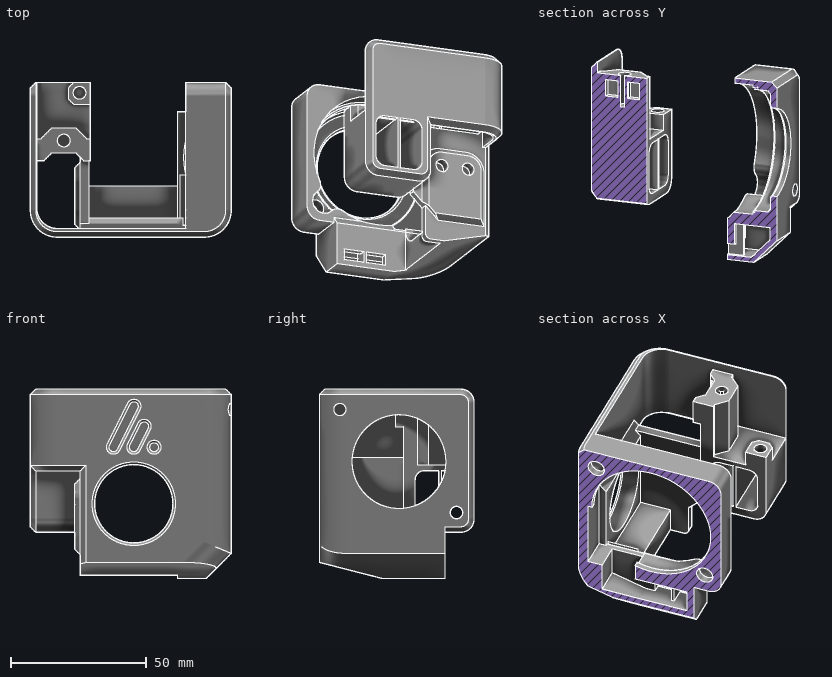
import cadquery as cq
import math


WIDTH = 74.19
DEPTH = 57.16
HEIGHT = 69.98
FRONT_RADIUS = 10.0
REAR_RADIUS = 5.0
EDGE_CHAMFER = 2.1
BOX_BOTTOM = 17.05
OVERCUT = 1.0

LEFT_WALL = 2.45
FRONT_WALL = 3.3
RIGHT_INNER_X = 57.3
FRONT_PAD = 7.2
PAD_SLOPE_TOP = 46.5
PAD_SLOPE_BOTTOM = PAD_SLOPE_TOP - (FRONT_PAD - FRONT_WALL)

NOTCH_X = 18.4
NOTCH_TOP = 39.7
LEFT_BOX_FRONT = 31.05
LEFT_BOX_RIGHT = 22.2
LEFT_BOX_TOP = 42.0
WINDOW_Y = (35.4, 53.8)
WINDOW_Z = (20.5, 39.9)
WINDOW_RADIUS = 3.5
WINDOW_RIB_Y = (44.05, 45.1)

INSERT_DIA = 4.7
TOWER_TOP = 66.0
TOWER_LUG_BOTTOM = 56.0
TOWER_CENTER_X = 12.4
TOWER_HOLE_Y = 35.7
TOWER_HOLE_DEPTH = 12.0
TOWER_LUG_FRONT = 28.2
TOWER_LUG_REAR = 36.2
TOWER_REAR = 40.3
TOWER_FLAT_HALF = 4.5
TIE_SLOT_X = (2.0, 6.6)
TIE_SLOT_Z = (57.5, 63.6)
TIE_SLOT_REAR = 35.5
REAR_POST_X = 14.1
REAR_POST_FRONT = 49.0
REAR_POST_HEIGHT = 6.0
REAR_POST_CHAMFER = 2.0
REAR_POST_HOLE = (18.2, 53.3)

DUCT_X = 54.3
DUCT_REAR = 46.4
DUCT_SHOULDER = 15.9
DUCT_SHELF_X = 55.3
DUCT_SHELF_REAR = 23.0
SHELF_TOP = DUCT_SHOULDER + DUCT_SHELF_X - DUCT_X
SLOPE_FRONT_Z = 6.0
SLOPE_REAR_Y = 23.4
BEVEL = 9.33
FLOOR_BOTTOM = 1.2
FLOOR_TOP = 10.8
FLOOR_REAR = 19.0
FLOOR_CURVE_RADIUS = 6.4
LEG_INNER_X = 21.7
LEG_REAR = 26.2
LEG_CORNER_RADIUS = 2.0
LEG_STEP_TOP = 13.95
LEG_TOP = 44.7

AIR_HOLE_CENTER = (38.2, 27.65)
AIR_HOLE_RADIUS = 14.4
AIR_HOLE_CHAMFER = 1.0
GROOVE_FLOOR_DIA = 3.25
GROOVE_DEPTH = 0.95
GROOVE_PITCH = 7.5
GROOVE_START = (30.7, 48.5)
GROOVE_LENGTHS = (16.9, 8.6)
GROOVE_ANGLE = 63.4

PAD_OUTER_X = 16.4
PAD_Y = (2.8, 27.65)
PAD_Z = (8.9, 36.9)
PAD_RADIUS = 7.2
PAD_HOLE_FLOOR = 1.0

FAN_CENTER = (29.4, 43.2)
FAN_RADIUS = 25.0
FAN_SEAT_X = 64.5
FAN_STEP_RADIUS = 24.2
FAN_STEP_X = 65.2
FAN_RECESS_RADIUS = 23.5
FAN_FLOOR_X = 71.5
FAN_FLOOR_CHAMFER = 1.0
INLET_RADIUS = 17.3
INLET_CHAMFER = 0.8
FAN_SCREWS = [(50.6, 24.4), (7.6, 62.4)]
FAN_POCKET_DIA = 8.7
FAN_POCKET_BLEND = 4.0
FAN_COUNTERBORE_DIA = 6.25
FAN_COUNTERBORE_X = 70.0
FAN_SCREW_DIA = 4.5

NOZZLES_Y = [(27.0, 34.6), (35.7, 43.5)]
NOZZLE_Z = (2.0, 6.1)
DUCT_WALL = 3.0
DUCT_CAVITY_TOP = 14.0
DUCT_DROP_FRONT = 10.0
FAN_OUTLET_FRONT = FAN_CENTER[0] - FAN_RADIUS


def block(x_range, y_range, z_range):
    """Axis-aligned box between the given limits."""
    size = [high - low for low, high in (x_range, y_range, z_range)]
    corner = (x_range[0], y_range[0], z_range[0])
    return cq.Workplane("XY").box(*size, centered=False).translate(corner)


def side_profile(points, x_range):
    """Extrude a closed (Y, Z) outline along X."""
    plane = cq.Workplane("YZ", origin=(x_range[0], 0, 0))
    return plane.polyline(points).close().extrude(x_range[1] - x_range[0])


def front_profile(points, y_range):
    """Extrude a closed (X, Z) outline along Y."""
    plane = cq.Workplane("XZ", origin=(0, y_range[0], 0))
    return plane.polyline(points).close().extrude(y_range[0] - y_range[1])


def disc_x(center, radius, x_range):
    """Cylinder along X, centred at (Y, Z)."""
    plane = cq.Workplane("YZ", origin=(x_range[0], 0, 0))
    return plane.center(*center).circle(radius).extrude(x_range[1] - x_range[0])


def disc_z(center, radius, z_range):
    """Cylinder along Z, centred at (X, Y)."""
    plane = cq.Workplane("XY", origin=(0, 0, z_range[0]))
    return plane.center(*center).circle(radius).extrude(z_range[1] - z_range[0])


def cone_x(center, start_radius, end_radius, x_start):
    """45 degree cone frustum along +X, centred at (Y, Z)."""
    length = abs(end_radius - start_radius)
    base = cq.Vector(x_start, *center)
    cone = cq.Solid.makeCone(start_radius, end_radius, length, base, cq.Vector(1, 0, 0))
    return cq.Workplane("XY").add(cone)


def outer_housing():
    """Full-width block with rounded corners and a bevel round its front and side faces."""
    body = block((0, WIDTH), (0, DEPTH), (BOX_BOTTOM, HEIGHT))
    body = body.edges("|Z and <Y").fillet(FRONT_RADIUS)
    body = body.edges("|X and >Y").fillet(REAR_RADIUS)
    smooth_seams = "(|Z and (not >Y)) or (|X and (not <Y))"
    return body.edges(f"not ({smooth_seams})").chamfer(EDGE_CHAMFER)


def upper_shell(housing):
    """Left and front walls above the notch, bevelled along their lower edge."""
    band = block((0, WIDTH), (0, DEPTH), (NOTCH_TOP, HEIGHT))
    band = band.edges("|Z and <Y").fillet(FRONT_RADIUS)
    band = band.faces("<Z").edges("not >Y").chamfer(EDGE_CHAMFER)
    cavity = block(
        (LEFT_WALL, RIGHT_INNER_X),
        (FRONT_WALL, DEPTH + OVERCUT),
        (NOTCH_TOP - OVERCUT, HEIGHT + OVERCUT),
    )
    cavity = cavity.edges("|Z and <X and <Y").fillet(FRONT_RADIUS - LEFT_WALL)
    return housing.intersect(band).cut(cavity)


def left_housing():
    """Box below the left wall with a window through it, split by a thin rib."""
    box = block((0, LEFT_BOX_RIGHT), (LEFT_BOX_FRONT, DEPTH), (BOX_BOTTOM, HEIGHT))
    box = box.edges("|X and <Z").fillet(REAR_RADIUS)
    box = box.edges("|X and >Z and >Y").fillet(REAR_RADIUS)
    box = box.faces("<X").edges().chamfer(EDGE_CHAMFER)
    box = box.cut(
        block(
            (LEFT_WALL, LEFT_BOX_RIGHT + OVERCUT),
            (LEFT_BOX_FRONT - OVERCUT, DEPTH + OVERCUT),
            (LEFT_BOX_TOP, HEIGHT + OVERCUT),
        )
    )
    window = block((-OVERCUT, LEFT_BOX_RIGHT + OVERCUT), WINDOW_Y, WINDOW_Z)
    window = window.edges("|X").fillet(WINDOW_RADIUS)
    return box.cut(window).union(block((0, LEFT_BOX_RIGHT), WINDOW_RIB_Y, WINDOW_Z))


def tower():
    """Screw tower with chamfered lugs, an insert hole and two tie slots."""
    outer_half = LEFT_BOX_RIGHT - TOWER_CENTER_X
    lug_step = LEFT_BOX_FRONT - TOWER_LUG_FRONT
    rear_step = TOWER_REAR - TOWER_LUG_REAR
    flat = TOWER_FLAT_HALF
    right_half = [
        (flat, LEFT_BOX_FRONT),
        (flat + lug_step, TOWER_LUG_FRONT),
        (outer_half, TOWER_LUG_FRONT),
        (outer_half, TOWER_LUG_REAR),
        (flat + rear_step, TOWER_LUG_REAR),
        (flat, TOWER_REAR),
    ]
    left_half = [(-x, y) for x, y in reversed(right_half)]
    outline = [(TOWER_CENTER_X + x, y) for x, y in right_half + left_half]
    body = cq.Workplane("XY", origin=(0, 0, LEFT_BOX_TOP)).polyline(outline).close()
    body = body.extrude(TOWER_TOP - LEFT_BOX_TOP)
    below_lugs = block(
        (0, LEFT_BOX_RIGHT + OVERCUT),
        (TOWER_LUG_FRONT - OVERCUT, LEFT_BOX_FRONT),
        (LEFT_BOX_TOP - OVERCUT, TOWER_LUG_BOTTOM),
    )
    body = body.cut(below_lugs)
    for side in (-1, 1):
        slot_x = sorted(TOWER_CENTER_X + side * offset for offset in TIE_SLOT_X)
        body = body.cut(block(slot_x, (TOWER_LUG_FRONT - OVERCUT, TIE_SLOT_REAR), TIE_SLOT_Z))
    hole_z = (TOWER_TOP - TOWER_HOLE_DEPTH, TOWER_TOP + OVERCUT)
    body = body.cut(disc_z((TOWER_CENTER_X, TOWER_HOLE_Y), INSERT_DIA / 2, hole_z))
    wall_joint = block(
        (LEFT_WALL / 2, LEFT_WALL + OVERCUT),
        (TOWER_LUG_FRONT, TOWER_LUG_REAR),
        (TOWER_LUG_BOTTOM, TOWER_TOP),
    )
    return body.union(wall_joint)


def rear_post():
    """Short screw post at the rear of the left housing."""
    post_z = (LEFT_BOX_TOP, LEFT_BOX_TOP + REAR_POST_HEIGHT)
    post = block((REAR_POST_X, LEFT_BOX_RIGHT), (REAR_POST_FRONT, DEPTH), post_z)
    post = post.edges("|Z and <X").chamfer(REAR_POST_CHAMFER)
    return post.cut(disc_z(REAR_POST_HOLE, INSERT_DIA / 2, (post_z[0], post_z[1] + OVERCUT)))


def lower_body():
    """Front wall, left leg, trough floor and duct, all below the upper shell."""
    outline = [
        (NOTCH_X, FLOOR_BOTTOM),
        (DUCT_X, FLOOR_BOTTOM),
        (DUCT_X, 0),
        (WIDTH - BEVEL, 0),
        (WIDTH, BEVEL),
        (WIDTH, PAD_SLOPE_TOP),
        (NOTCH_X, PAD_SLOPE_TOP),
    ]
    body = front_profile(outline, (0, DUCT_REAR))
    rounded_edges = cq.selectors.BoxSelector(
        (WIDTH - BEVEL - OVERCUT, -OVERCUT, OVERCUT),
        (WIDTH + OVERCUT, OVERCUT, PAD_SLOPE_TOP - OVERCUT),
    )
    body = body.edges(rounded_edges).fillet(FRONT_RADIUS)
    body = body.edges("|Z and <X and <Y").chamfer(EDGE_CHAMFER)
    underside = [(0, 0), (SLOPE_REAR_Y, 0), (0, SLOPE_FRONT_Z)]
    body = body.cut(side_profile(underside, (0, WIDTH + OVERCUT)))
    return body.cut(trough()).cut(duct_shoulder()).cut(leg_relief())


def trough():
    """Open space behind the padded front wall, with a curved rise at its right end."""
    top = PAD_SLOPE_TOP + OVERCUT
    profile = [
        (FRONT_WALL, top),
        (FRONT_WALL, PAD_SLOPE_TOP),
        (FRONT_PAD, PAD_SLOPE_BOTTOM),
        (FRONT_PAD, FLOOR_TOP),
        (FLOOR_REAR, FLOOR_TOP),
        (FLOOR_REAR, 0),
        (DUCT_REAR + OVERCUT, 0),
        (DUCT_REAR + OVERCUT, top),
    ]
    space = side_profile(profile, (LEG_INNER_X, DUCT_X))
    corner = block(
        (DUCT_X - FLOOR_CURVE_RADIUS, DUCT_X),
        (FRONT_PAD, FLOOR_REAR),
        (FLOOR_TOP, FLOOR_TOP + FLOOR_CURVE_RADIUS),
    )
    curve_axis = cq.Workplane("XZ", origin=(0, FRONT_PAD, 0))
    curve_axis = curve_axis.center(DUCT_X - FLOOR_CURVE_RADIUS, FLOOR_TOP + FLOOR_CURVE_RADIUS)
    curve = curve_axis.circle(FLOOR_CURVE_RADIUS).extrude(FRONT_PAD - FLOOR_REAR)
    return space.cut(corner.cut(curve))


def duct_shoulder():
    """Space above the duct: a 45 degree shoulder with a level shelf at its front."""
    top = PAD_SLOPE_TOP + OVERCUT
    shoulder_top = DUCT_SHOULDER + RIGHT_INNER_X - DUCT_X
    slope = [(DUCT_X, DUCT_SHOULDER), (RIGHT_INNER_X, shoulder_top), (RIGHT_INNER_X, top), (DUCT_X, top)]
    space = front_profile(slope, (FRONT_PAD, DUCT_REAR + OVERCUT))
    shelf = block((DUCT_SHELF_X, RIGHT_INNER_X), (FRONT_PAD, DUCT_SHELF_REAR), (SHELF_TOP, top))
    pad_slope = side_profile(
        [
            (FRONT_WALL, PAD_SLOPE_TOP),
            (FRONT_PAD, PAD_SLOPE_BOTTOM),
            (FRONT_PAD, PAD_SLOPE_TOP),
        ],
        (DUCT_X, RIGHT_INNER_X),
    )
    return space.union(shelf).union(pad_slope)


def leg_relief():
    """Space behind and above the left leg."""
    rear = DUCT_REAR + OVERCUT
    x_range = (NOTCH_X - OVERCUT, LEG_INNER_X)
    behind = side_profile(
        [
            (LEG_REAR, 0),
            (rear, 0),
            (rear, LEG_TOP),
            (LEFT_BOX_FRONT, LEG_TOP),
            (LEFT_BOX_FRONT, LEG_STEP_TOP + LEFT_BOX_FRONT - LEG_REAR),
            (LEG_REAR, LEG_STEP_TOP),
        ],
        x_range,
    )
    corner_box = block(
        x_range,
        (LEG_REAR - LEG_CORNER_RADIUS, LEG_REAR),
        (FLOOR_BOTTOM, FLOOR_BOTTOM + LEG_CORNER_RADIUS),
    )
    corner_center = (LEG_REAR - LEG_CORNER_RADIUS, FLOOR_BOTTOM + LEG_CORNER_RADIUS)
    corner = corner_box.cut(disc_x(corner_center, LEG_CORNER_RADIUS, x_range))
    slope_end = FRONT_WALL + PAD_SLOPE_TOP - LEG_TOP
    above = side_profile(
        [(FRONT_WALL, PAD_SLOPE_TOP), (slope_end, LEG_TOP), (rear, LEG_TOP), (rear, PAD_SLOPE_TOP)],
        x_range,
    )
    return behind.union(corner).union(above)


def side_pad():
    """Raised bevelled pad on the leg, clipped by the leg's 45 degree rear edge."""
    pad = block((PAD_OUTER_X, NOTCH_X + OVERCUT), PAD_Y, PAD_Z)
    pad = pad.edges("|X and >Z").fillet(PAD_RADIUS)
    pad = pad.faces("<X").edges().chamfer(NOTCH_X - PAD_OUTER_X)
    diagonal_y = LEG_REAR - LEG_STEP_TOP
    clip = [
        (diagonal_y + PAD_Z[0] - OVERCUT, PAD_Z[0] - OVERCUT),
        (diagonal_y + PAD_Z[1], PAD_Z[1]),
        (diagonal_y + PAD_Z[1], PAD_Z[0] - OVERCUT),
    ]
    return pad.cut(side_profile(clip, (PAD_OUTER_X - OVERCUT, NOTCH_X + 2 * OVERCUT)))


def pad_holes():
    """Two blind insert holes, concentric with the pad's top corners."""
    hole_z = PAD_Z[1] - PAD_RADIUS
    x_range = (PAD_OUTER_X - OVERCUT, LEG_INNER_X - PAD_HOLE_FLOOR)
    front_hole = disc_x((PAD_Y[0] + PAD_RADIUS, hole_z), INSERT_DIA / 2, x_range)
    rear_hole = disc_x((PAD_Y[1] - PAD_RADIUS, hole_z), INSERT_DIA / 2, x_range)
    return front_hole.union(rear_hole)


def air_hole():
    """Round hole through the padded front wall, chamfered at the front."""
    plane = cq.Workplane("XZ").center(*AIR_HOLE_CENTER)
    bore = plane.circle(AIR_HOLE_RADIUS).extrude(-FRONT_PAD - OVERCUT)
    mouth = plane.circle(AIR_HOLE_RADIUS + AIR_HOLE_CHAMFER).extrude(-AIR_HOLE_CHAMFER, taper=45)
    return bore.union(mouth)


def front_grooves():
    """Two slanted round-ended grooves and a round dimple, all with 45 degree walls."""
    mouth_dia = GROOVE_FLOOR_DIA + 2 * GROOVE_DEPTH
    start_x, start_z = GROOVE_START
    angle = math.radians(GROOVE_ANGLE)
    dimple = cq.Workplane("XZ").center(start_x + len(GROOVE_LENGTHS) * GROOVE_PITCH, start_z)
    grooves = dimple.circle(mouth_dia / 2).extrude(-GROOVE_DEPTH, taper=45)
    for index, length in enumerate(GROOVE_LENGTHS):
        middle_x = start_x + index * GROOVE_PITCH + length / 2 * math.cos(angle)
        middle_z = start_z + length / 2 * math.sin(angle)
        plane = cq.Workplane("XZ").center(middle_x, middle_z)
        slot = plane.slot2D(length + mouth_dia, mouth_dia, GROOVE_ANGLE)
        grooves = grooves.union(slot.extrude(-GROOVE_DEPTH, taper=45))
    return grooves


def fan_bay():
    """Stepped round fan bay with its air inlet and two screw pockets."""
    mouth_x = RIGHT_INNER_X - OVERCUT
    outside_x = WIDTH + OVERCUT
    chamfer_x = FAN_FLOOR_X - FAN_FLOOR_CHAMFER
    bay = disc_x(FAN_CENTER, FAN_RADIUS, (mouth_x, FAN_SEAT_X))
    for screw in FAN_SCREWS:
        bay = bay.union(disc_x(screw, FAN_POCKET_DIA / 2, (mouth_x, FAN_SEAT_X)))
    bay = bay.edges("|X").fillet(FAN_POCKET_BLEND)
    bay = bay.union(disc_x(FAN_CENTER, FAN_STEP_RADIUS, (mouth_x, FAN_STEP_X)))
    bay = bay.union(disc_x(FAN_CENTER, FAN_RECESS_RADIUS, (mouth_x, chamfer_x)))
    floor_radius = FAN_RECESS_RADIUS - FAN_FLOOR_CHAMFER
    bay = bay.union(cone_x(FAN_CENTER, FAN_RECESS_RADIUS, floor_radius, chamfer_x))
    bay = bay.union(disc_x(FAN_CENTER, INLET_RADIUS, (mouth_x, outside_x)))
    bay = bay.union(cone_x(FAN_CENTER, INLET_RADIUS + INLET_CHAMFER, INLET_RADIUS, FAN_FLOOR_X))
    for screw in FAN_SCREWS:
        bay = bay.union(disc_x(screw, FAN_COUNTERBORE_DIA / 2, (mouth_x, FAN_COUNTERBORE_X)))
        bay = bay.union(disc_x(screw, FAN_SCREW_DIA / 2, (mouth_x, outside_x)))
    return bay


def duct_cavity():
    """Fan outlet, its drop behind the front wall and the passage back to the two nozzles."""
    inner_x = DUCT_X + DUCT_WALL
    outer_x = WIDTH - DUCT_WALL
    bottom = NOZZLE_Z[0]
    bevel_x = WIDTH - BEVEL - DUCT_WALL + bottom
    passage = front_profile(
        [
            (inner_x, bottom),
            (bevel_x, bottom),
            (outer_x, bottom + outer_x - bevel_x),
            (outer_x, DUCT_CAVITY_TOP),
            (inner_x, DUCT_CAVITY_TOP),
        ],
        (DUCT_DROP_FRONT, NOZZLES_Y[-1][1]),
    )
    sloped_floor = side_profile(
        [(0, 0), (SLOPE_REAR_Y, 0), (SLOPE_REAR_Y, bottom), (0, bottom + SLOPE_FRONT_Z)],
        (inner_x, WIDTH),
    )
    passage = passage.cut(sloped_floor)
    drop_y = (DUCT_DROP_FRONT, DUCT_SHELF_REAR)
    drop = block((inner_x, outer_x), drop_y, (DUCT_CAVITY_TOP - OVERCUT, SHELF_TOP + OVERCUT))
    outlet = block(
        (RIGHT_INNER_X - OVERCUT, outer_x),
        (FAN_OUTLET_FRONT, DUCT_SHELF_REAR),
        (SHELF_TOP, FAN_CENTER[1]),
    )
    cavity = passage.union(drop).union(outlet)
    divider_y = (NOZZLES_Y[0][1], NOZZLES_Y[1][0])
    cavity = cavity.cut(block((inner_x, inner_x + DUCT_WALL), divider_y, (bottom, DUCT_CAVITY_TOP)))
    for nozzle_y in NOZZLES_Y:
        cavity = cavity.union(block((DUCT_X - OVERCUT, inner_x + OVERCUT), nozzle_y, NOZZLE_Z))
    return cavity


housing = outer_housing()
fan_housing = housing.intersect(
    block((RIGHT_INNER_X, WIDTH), (0, DEPTH), (BOX_BOTTOM, HEIGHT))
)

result = upper_shell(housing)
for addition in (fan_housing, lower_body(), left_housing(), tower(), rear_post(), side_pad()):
    result = result.union(addition)
for removal in (fan_bay(), duct_cavity(), air_hole(), front_grooves(), pad_holes()):
    result = result.cut(removal)